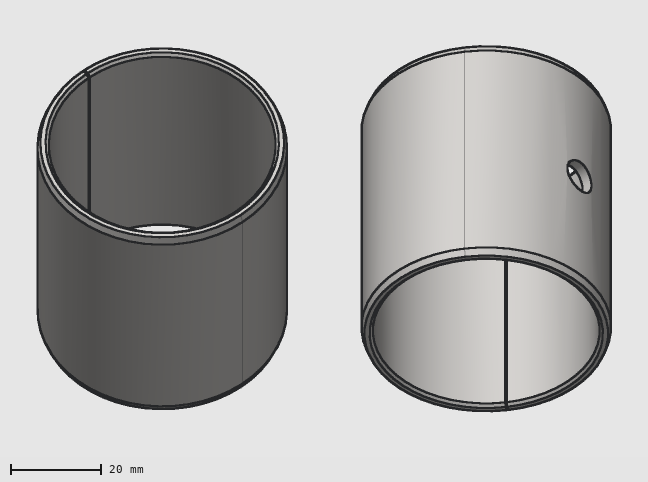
import cadquery as cq

length = 60.0
outer_diameter = 55.0
wall = 2.5
outer_chamfer_height = 1.8
outer_chamfer_depth = 0.65
inner_chamfer = 0.7
slit_width = 0.35
oil_hole_diameter = 8.0
oil_hole_angle = 59.0

outer_radius = outer_diameter / 2
inner_radius = outer_radius - wall
half_length = length / 2


def make_sleeve():
    """Revolve the wall section, chamfered inside and outside at both ends."""
    upper_half = [
        (outer_radius, half_length - outer_chamfer_height),
        (outer_radius - outer_chamfer_depth, half_length),
        (inner_radius + inner_chamfer, half_length),
        (inner_radius, half_length - inner_chamfer),
    ]
    lower_half = [(radius, -height) for radius, height in reversed(upper_half)]
    section = cq.Workplane("XZ").polyline(upper_half + lower_half).close()
    return section.revolve(360, (0, 0, 0), (0, 1, 0))


def make_slit():
    """Full-length cut through the -X wall."""
    return cq.Workplane("XY").box(outer_radius, slit_width, length).translate((-outer_radius, 0, 0))


def make_oil_hole():
    """Radial hole at mid length, through one side of the wall."""
    drill = cq.Workplane("YZ").circle(oil_hole_diameter / 2).extrude(outer_diameter)
    return drill.rotate((0, 0, 0), (0, 0, 1), oil_hole_angle)


result = make_sleeve().cut(make_slit()).cut(make_oil_hole())